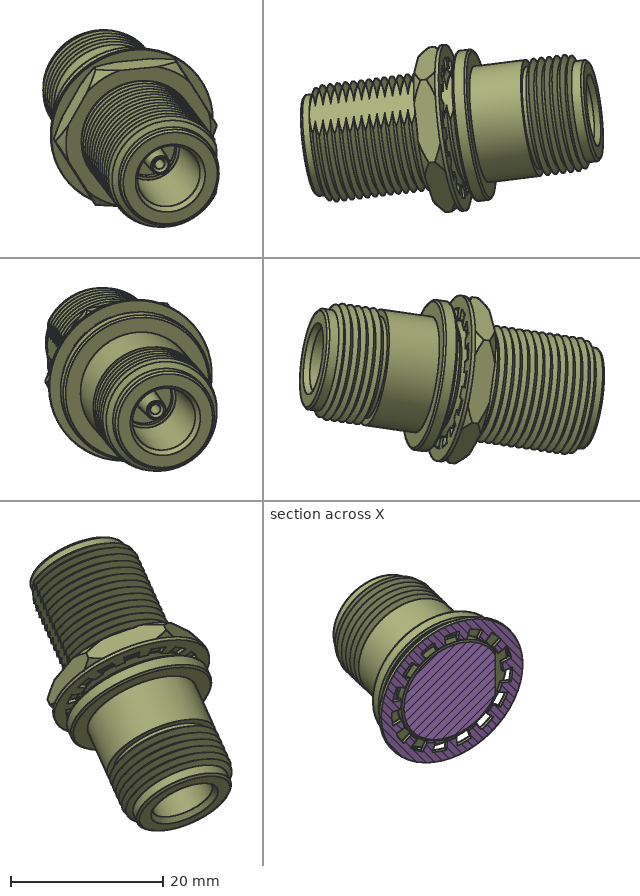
import cadquery as cq
import math


LENGTH = 38.0
NOSE_RADIUS = 6.73
NOSE_CHAMFER = 0.3
RELIEF_RADIUS = 6.8
BARREL_START = 8.17
BARREL_RADIUS = 7.7
FLANGE_START = 15.05
FLANGE_END = 17.0
FLANGE_RADIUS = 10.0
FLANGE_CHAMFER = 0.25

CREST_RADIUS = 7.75
FLANK_SLOPE = math.tan(math.radians(60))
FRONT_THREAD_START = 1.55
FRONT_FIRST_CREST = 2.93
FRONT_LAST_CREST = 7.1
FRONT_RIDGES = 5
REAR_THREAD_END = 36.8
REAR_FIRST_CREST = 17.82
REAR_LAST_CREST = 35.45
REAR_RIDGES = 18
REAR_FLAT = NOSE_RADIUS

MOUTH_RADIUS = 4.75
MOUTH_DEPTH = 0.75
BORE_RADIUS = 4.25
BORE_END_RADIUS = 3.9
BORE_DEPTH = 9.88
RECESS_RADIUS = 3.5
RECESS_DEPTH = 10.65

PIN_TIP_DEPTH = 4.95
PIN_RADIUS = 1.52
PIN_TIP_RADIUS = 1.3
PIN_HOLE_MOUTH_RADIUS = 1.05
PIN_HOLE_RADIUS = 0.7
PIN_HOLE_COUNTERSINK = PIN_HOLE_MOUTH_RADIUS - PIN_HOLE_RADIUS
PIN_HOLE_DEPTH = 3.8
DRILL_POINT_ANGLE = 120.0
PIN_HOLE_POINT = PIN_HOLE_RADIUS / math.tan(math.radians(DRILL_POINT_ANGLE / 2))

WASHER_START = 18.55
WASHER_THICKNESS = 0.5
WASHER_RADIUS = 11.02
WASHER_BORE_RADIUS = 7.9
NOTCH_RADIUS = 9.35
NOTCH_COUNT = 15
NOTCH_ANGLE = 13.5

NUT_START = WASHER_START + WASHER_THICKNESS
NUT_THICKNESS = 3.08
NUT_SIDES = 6
NUT_CORNER_RADIUS = WASHER_RADIUS
NUT_CHAMFER = 1.15


def revolve_profile(points):
    """Turn a closed (x, radius) outline about the X axis."""
    return cq.Workplane("XZ").polyline(points).close().revolve(360, (0, 0, 0), (1, 0, 0))


def ridge_outline(first_crest, last_crest, count):
    """Crest points with a sharp root between each two, and the pitch and root radius."""
    pitch = (last_crest - first_crest) / (count - 1)
    root_radius = CREST_RADIUS - FLANK_SLOPE * pitch / 2
    points = [(first_crest, CREST_RADIUS)]
    for i in range(1, count):
        crest = first_crest + i * pitch
        points.append((crest - pitch / 2, root_radius))
        points.append((crest, CREST_RADIUS))
    return points, pitch, root_radius


def front_thread():
    ridges, pitch, root_radius = ridge_outline(FRONT_FIRST_CREST, FRONT_LAST_CREST, FRONT_RIDGES)
    flank_rise = CREST_RADIUS - NOSE_RADIUS
    low_crest = (FRONT_THREAD_START + FRONT_FIRST_CREST - pitch + flank_rise / FLANK_SLOPE) / 2
    low_radius = NOSE_RADIUS + FLANK_SLOPE * (low_crest - FRONT_THREAD_START)
    runout = FRONT_LAST_CREST + (CREST_RADIUS - RELIEF_RADIUS) / FLANK_SLOPE
    return [
        (FRONT_THREAD_START, NOSE_RADIUS),
        (low_crest, low_radius),
        (FRONT_FIRST_CREST - pitch / 2, root_radius),
        *ridges,
        (runout, RELIEF_RADIUS),
    ]


def rear_thread():
    ridges, pitch, root_radius = ridge_outline(REAR_FIRST_CREST, REAR_LAST_CREST, REAR_RIDGES)
    flank_rise = CREST_RADIUS - NOSE_RADIUS
    low_crest = (REAR_THREAD_END + REAR_LAST_CREST + pitch - flank_rise / FLANK_SLOPE) / 2
    low_radius = NOSE_RADIUS + FLANK_SLOPE * (REAR_THREAD_END - low_crest)
    flank_start_radius = CREST_RADIUS - FLANK_SLOPE * (FLANGE_END - (REAR_FIRST_CREST - pitch))
    return [
        (FLANGE_END, flank_start_radius),
        (REAR_FIRST_CREST - pitch / 2, root_radius),
        *ridges,
        (REAR_LAST_CREST + pitch / 2, root_radius),
        (low_crest, low_radius),
        (REAR_THREAD_END, NOSE_RADIUS),
    ]


def make_shell():
    """Solid outside shape of the connector, with the flat along its rear thread."""
    shell = revolve_profile([
        (0, 0),
        (0, NOSE_RADIUS - NOSE_CHAMFER),
        (NOSE_CHAMFER, NOSE_RADIUS),
        *front_thread(),
        (BARREL_START, RELIEF_RADIUS),
        (BARREL_START, BARREL_RADIUS),
        (FLANGE_START, BARREL_RADIUS),
        (FLANGE_START, FLANGE_RADIUS - FLANGE_CHAMFER),
        (FLANGE_START + FLANGE_CHAMFER, FLANGE_RADIUS),
        (FLANGE_END - FLANGE_CHAMFER, FLANGE_RADIUS),
        (FLANGE_END, FLANGE_RADIUS - FLANGE_CHAMFER),
        *rear_thread(),
        (LENGTH - NOSE_CHAMFER, NOSE_RADIUS),
        (LENGTH, NOSE_RADIUS - NOSE_CHAMFER),
        (LENGTH, 0),
    ])
    beyond_flat = cq.Workplane("XY").box(
        LENGTH - FLANGE_END, CREST_RADIUS, 2 * CREST_RADIUS, centered=(False, False, True)
    ).translate((FLANGE_END, REAR_FLAT, 0))
    return shell.cut(beyond_flat)


def make_socket_cavity():
    """Space inside the front socket, around the tapered pin and in the pin's drilled hole."""
    around_pin = revolve_profile([
        (0, 0),
        (0, MOUTH_RADIUS),
        (MOUTH_DEPTH, BORE_RADIUS),
        (BORE_DEPTH, BORE_END_RADIUS),
        (BORE_DEPTH, RECESS_RADIUS),
        (RECESS_DEPTH, RECESS_RADIUS),
        (RECESS_DEPTH, PIN_RADIUS),
        (PIN_TIP_DEPTH, PIN_TIP_RADIUS),
        (PIN_TIP_DEPTH, 0),
    ])
    hole_end = PIN_TIP_DEPTH + PIN_HOLE_DEPTH
    pin_hole = revolve_profile([
        (PIN_TIP_DEPTH, 0),
        (PIN_TIP_DEPTH, PIN_HOLE_MOUTH_RADIUS),
        (PIN_TIP_DEPTH + PIN_HOLE_COUNTERSINK, PIN_HOLE_RADIUS),
        (hole_end, PIN_HOLE_RADIUS),
        (hole_end + PIN_HOLE_POINT, 0),
    ])
    return around_pin.union(pin_hole)


def make_connector():
    front_cavity = make_socket_cavity()
    rear_cavity = front_cavity.mirror("YZ", (LENGTH / 2, 0, 0))
    return make_shell().cut(front_cavity).cut(rear_cavity)


def make_washer():
    """Flat ring whose bore is notched into teeth, with one notch centred on +Z."""
    washer = (
        cq.Workplane("YZ", origin=(WASHER_START, 0, 0))
        .circle(WASHER_RADIUS)
        .circle(WASHER_BORE_RADIUS)
        .extrude(WASHER_THICKNESS)
    )
    half_angle = math.radians(NOTCH_ANGLE / 2)
    corner_y = NOTCH_RADIUS * math.sin(half_angle)
    corner_z = NOTCH_RADIUS * math.cos(half_angle)
    notch = (
        cq.Workplane("YZ", origin=(WASHER_START, 0, 0))
        .lineTo(-corner_y, corner_z)
        .threePointArc((0, NOTCH_RADIUS), (corner_y, corner_z))
        .close()
        .extrude(WASHER_THICKNESS)
    )
    for i in range(NOTCH_COUNT):
        washer = washer.cut(notch.rotate((0, 0, 0), (1, 0, 0), i * 360 / NOTCH_COUNT))
    return washer


def make_nut():
    """Hexagon trimmed by a doubly chamfered disc, bored to slide over the thread crests."""
    hexagon = (
        cq.Workplane("YZ", origin=(NUT_START, 0, 0))
        .polygon(NUT_SIDES, 2 * NUT_CORNER_RADIUS)
        .extrude(NUT_THICKNESS)
    )
    chamfered_disc = (
        cq.Workplane("YZ", origin=(NUT_START, 0, 0))
        .circle(NUT_CORNER_RADIUS)
        .extrude(NUT_THICKNESS)
        .edges("%CIRCLE")
        .chamfer(NUT_CHAMFER)
    )
    bore = cq.Workplane("YZ", origin=(NUT_START, 0, 0)).circle(CREST_RADIUS).extrude(NUT_THICKNESS)
    return hexagon.intersect(chamfered_disc).cut(bore)


connector = make_connector()
washer = make_washer()
nut = make_nut()

result = cq.Compound.makeCompound([connector.val(), washer.val(), nut.val()])